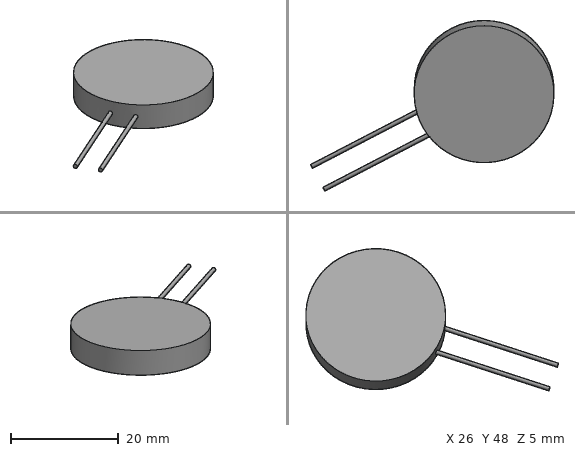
import cadquery as cq

disc_diameter = 26.0
disc_height = 5.0

overall_length = 48.0
lead_diameter = 0.8
lead_spacing = 4.9

disc_radius = disc_diameter / 2
lead_tip_y = disc_radius - overall_length


def make_lead(x):
    """Round lead running from its free tip to the middle of the disc."""
    tip_plane = cq.Plane(
        origin=(x, lead_tip_y, disc_height / 2), xDir=(1, 0, 0), normal=(0, 1, 0)
    )
    return cq.Workplane(tip_plane).circle(lead_diameter / 2).extrude(-lead_tip_y)


result = cq.Workplane("XY").circle(disc_radius).extrude(disc_height)
for side in (-1, 1):
    result = result.union(make_lead(side * lead_spacing / 2))